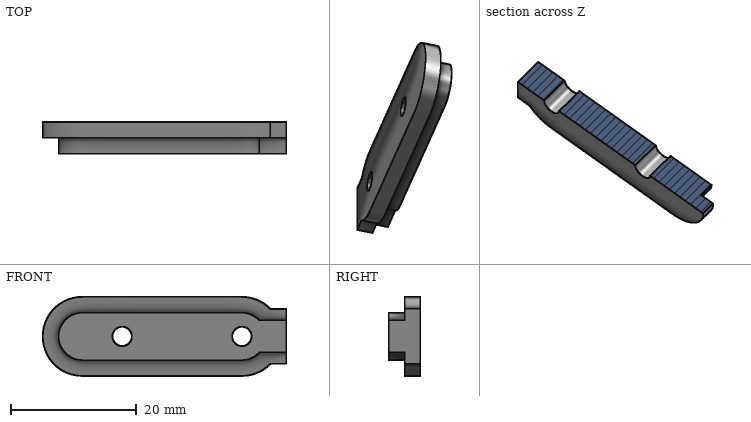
import cadquery as cq
import math

layer_thickness = 2.54
rib_radius = 3.77
rim_width = 2.54
center_distance = 25.4
overall_length = 38.79
rib_tab_width = 5.08
base_tab_width = 8.76
hole_diameter = 3.05
hole_spacing = 19.05

base_radius = rib_radius + rim_width
tab_end_x = overall_length - base_radius
total_thickness = 2 * layer_thickness
hole_positions = [(center_distance - hole_spacing, 0), (center_distance, 0)]


def tailed_slot(radius, tab_width, front_y):
    """Round-ended plate with a square tail at +X, one layer thick, running from front_y towards +Y."""
    half_tab = tab_width / 2
    tab_start_x = center_distance + math.sqrt(radius**2 - half_tab**2)
    arc_mid_angle = (math.pi / 2 + math.asin(half_tab / radius)) / 2
    arc_mid_x = center_distance + radius * math.cos(arc_mid_angle)
    arc_mid_z = radius * math.sin(arc_mid_angle)
    return (
        cq.Workplane("XZ", origin=(0, front_y, 0))
        .moveTo(0, radius)
        .lineTo(center_distance, radius)
        .threePointArc((arc_mid_x, arc_mid_z), (tab_start_x, half_tab))
        .lineTo(tab_end_x, half_tab)
        .lineTo(tab_end_x, -half_tab)
        .lineTo(tab_start_x, -half_tab)
        .threePointArc((arc_mid_x, -arc_mid_z), (center_distance, -radius))
        .lineTo(0, -radius)
        .threePointArc((-radius, 0), (0, radius))
        .close()
        .extrude(-layer_thickness)
    )


def through_holes():
    """Cylinders for the two holes, through both layers."""
    return (
        cq.Workplane("XZ")
        .pushPoints(hole_positions)
        .circle(hole_diameter / 2)
        .extrude(-total_thickness)
    )


rib = tailed_slot(rib_radius, rib_tab_width, 0)
base = tailed_slot(base_radius, base_tab_width, layer_thickness)

result = base.union(rib).cut(through_holes())